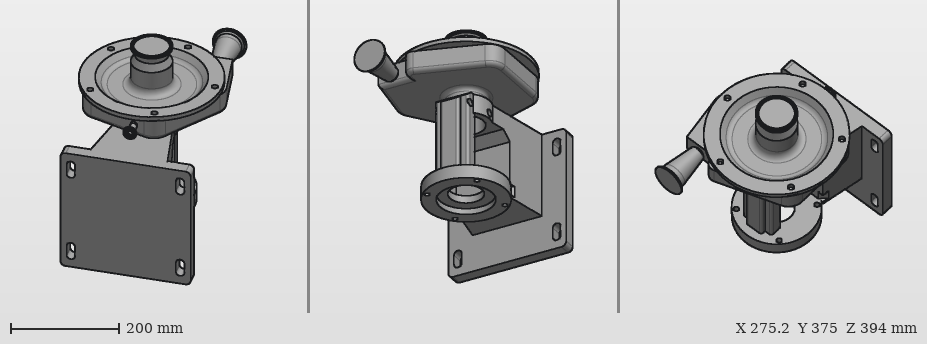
import cadquery as cq
import math

PLATE_SIDE = 250.0
PLATE_THICKNESS = 25.2
PLATE_BACK_Y = -180.5
PLATE_FRONT_Y = PLATE_BACK_Y + PLATE_THICKNESS
PLATE_CORNER_RADIUS = 10.0
SLOT_WIDTH = 16.0
SLOT_LENGTH = 36.0
SLOT_SPACING_X = 210.0
SLOT_SPACING_Z = 180.0

BRACKET_TAPER_DEG = 10.5
BRACKET_HALF_WIDTH = 73.5
BRACKET_BOTTOM_Z = 77.0
BRACKET_INNER_Y = -64.5
BRACKET_INNER_CHAMFER = 19.0
BOLT_NOTCH_DEPTH = 13.8
BOLT_NOTCH_HEIGHT = 22.0

RING_RADIUS = 83.5
RING_BORE_RADIUS = 34.0
RING_RECESS_RADIUS = 55
RING_RECESS_DEPTH = 12.2
RING_BOTTOM_Z = 55.5
RING_THICKNESS = 27.5
RING_TOP_Z = RING_BOTTOM_Z + RING_THICKNESS
RING_BOLT_CIRCLE_RADIUS = 75
RING_HOLE_DIAMETER = 10.2

HUB_RADIUS = 50.0
HUB_BORE_RADIUS = 36.5
HUB_BOTTOM_Z = 213.5
HUB_TOP_Z = 252.5
HUB_ROOF = 2.5
SIDE_HOLE_DIAMETER = 14.5
HUB_HOLE_Z = 226.0

POST_HALF_WIDTH = 35.5
POST_INNER_Y = 30.7
POST_SHOULDER_Y = 54.8
POST_EDGE_RADIUS = 5.0
RIB_HALF_WIDTH = 19.7
RIB_OUTER_Y = 65.0
POST_TOP_CHAMFER_RUN = 21.3
POST_TOP_CHAMFER_DROP = 16.0
POST_HOLE_Y = 47.0
POST_HOLE_Z = 229.7

CASING_BOTTOM_Z = 272.5
CASING_EDGE_RADIUS = 9.0
CORNER_CENTRE_RADIUS = 100.0
CORNER_RADIUS = 34.0
CORNER_PITCH_DEG = 72
CASING_APOTHEM = CORNER_CENTRE_RADIUS * math.cos(math.radians(CORNER_PITCH_DEG / 2)) + CORNER_RADIUS
SHOULDER_Y = 110.0
SHOULDER_CENTRE_Y = 8.5
SHOULDER_TILT_DEG = 9
HORN_RADIUS = 15.8
HORN_CENTRE_Y = 118.2

COVER_RADIUS = 135.0
COVER_BOTTOM_Z = 316.0
COVER_TOP_Z = 325.0
COVER_BOLT_CIRCLE_RADIUS = 121.5
COVER_HOLE_DIAMETER = 12
DISH_RADIUS = 105.0
DISH_DEPTH = 15.5
DISH_WALL_DEG = 45
DISH_FILLET = 15.8
DISH_INNER_FILLET = 15.0

NECK_RADIUS = 40.5
NECK_FILLET = 8.5

TOP_Z = 394
SUCTION_RADIUS = 39.0
SUCTION_NECK_RADIUS = 31.5
SUCTION_GROOVE_INNER_RADIUS = 33.5
SUCTION_CONE_BOTTOM_Z = 360.0
SUCTION_CONE_TOP_Z = 375.0

DISCHARGE_X = 95.7
DISCHARGE_Z = 293.0
DISCHARGE_END_Y = 194.5
DISCHARGE_NECK_RADIUS = 25.2
DISCHARGE_FLANGE_RADIUS = 32.5
DISCHARGE_CONE_Y = 177.3
DISCHARGE_TIP_Y = 112.5
DISCHARGE_TIP_RADIUS = 15.5
DISCHARGE_STUB_RADIUS = 12.2

DRAIN_Z = 296.0
DRAIN_END_Y = -151.3
DRAIN_RADIUS = 6.7
DRAIN_FLANGE_RADIUS = 12.5
DRAIN_GROOVE_INNER_RADIUS = 8
DRAIN_BORE_RADIUS = 5.0
DRAIN_BORE_DEPTH = 27.5

CLAMP_RIM = 3.0
CLAMP_TAPER = 4
CLAMP_TAPER_WIDTH = 3.5
CLAMP_GROOVE_WIDTH = 2.8
CLAMP_GROOVE_DEPTH = 1.0

OVERLAP = 4


def cylinder_z(radius, bottom, top):
    return cq.Workplane("XY").workplane(offset=bottom).circle(radius).extrude(top - bottom)


def cylinder_x(radius, x_start, x_end, y, z):
    return cq.Workplane("YZ", origin=(x_start, 0, 0)).center(y, z).circle(radius).extrude(x_end - x_start)


def polar(radius, degrees, centre=(0, 0)):
    angle = math.radians(degrees)
    return (centre[0] + radius * math.cos(angle), centre[1] + radius * math.sin(angle))


def clamp_profile(end, neck_radius, rim_radius):
    """Radius/height points of a clamp flange, from the neck up to the outer rim edge."""
    rim_start = end - CLAMP_RIM
    return [
        (neck_radius, rim_start - CLAMP_TAPER),
        (neck_radius + CLAMP_TAPER_WIDTH, rim_start),
        (rim_radius, rim_start),
        (rim_radius, end),
    ]


def revolve_profile(points):
    """Solid of revolution about Z from (radius, height) points listed upwards."""
    closed = [(0, points[0][1])] + points + [(0, points[-1][1])]
    return cq.Workplane("XZ").polyline(closed).close().revolve(360, (0, 0, 0), (0, 1, 0))


def clamp_groove(end, inner_radius):
    """Ring-shaped gasket groove in the end face of a clamp flange."""
    bottom = end - CLAMP_GROOVE_DEPTH
    outer = cylinder_z(inner_radius + CLAMP_GROOVE_WIDTH, bottom, end)
    return outer.cut(cylinder_z(inner_radius, bottom, end))


def mounting_plate():
    plate = (
        cq.Workplane("XZ", origin=(0, PLATE_FRONT_Y, PLATE_SIDE / 2))
        .rect(PLATE_SIDE, PLATE_SIDE)
        .extrude(PLATE_THICKNESS)
        .edges("|Y")
        .fillet(PLATE_CORNER_RADIUS)
    )
    slots = (
        cq.Workplane("XZ", origin=(0, PLATE_FRONT_Y, PLATE_SIDE / 2))
        .rect(SLOT_SPACING_X, SLOT_SPACING_Z, forConstruction=True)
        .vertices()
        .slot2D(SLOT_LENGTH, SLOT_WIDTH, 90)
        .extrude(PLATE_THICKNESS)
    )
    return plate.cut(slots)


def bracket():
    taper = math.tan(math.radians(BRACKET_TAPER_DEG))
    tip_half_width = BRACKET_HALF_WIDTH + PLATE_FRONT_Y * taper
    plan = (
        cq.Workplane("XY")
        .polyline(
            [
                (-BRACKET_HALF_WIDTH, PLATE_FRONT_Y),
                (BRACKET_HALF_WIDTH, PLATE_FRONT_Y),
                (tip_half_width, 0),
                (-tip_half_width, 0),
            ]
        )
        .close()
        .extrude(PLATE_SIDE)
    )
    side = (
        cq.Workplane("YZ", origin=(-BRACKET_HALF_WIDTH, 0, 0))
        .polyline(
            [
                (PLATE_FRONT_Y, BRACKET_BOTTOM_Z),
                (BRACKET_INNER_Y, BRACKET_BOTTOM_Z),
                (BRACKET_INNER_Y, HUB_BOTTOM_Z - BRACKET_INNER_CHAMFER),
                (BRACKET_INNER_Y + BRACKET_INNER_CHAMFER, HUB_BOTTOM_Z),
                (0, HUB_BOTTOM_Z),
                (0, PLATE_SIDE),
                (PLATE_FRONT_Y, PLATE_SIDE),
            ]
        )
        .close()
        .extrude(2 * BRACKET_HALF_WIDTH)
    )
    body = plan.intersect(side)

    notch_y = BRACKET_INNER_Y - BOLT_NOTCH_DEPTH
    notch_x = BRACKET_HALF_WIDTH - (notch_y - PLATE_FRONT_Y) * taper
    for side_sign in (-1, 1):
        notch = (
            cq.Workplane("XY")
            .workplane(offset=RING_TOP_Z)
            .polyline(
                [
                    (side_sign * notch_x, notch_y),
                    (side_sign * (notch_x - BOLT_NOTCH_DEPTH), BRACKET_INNER_Y),
                    (side_sign * notch_x, BRACKET_INNER_Y),
                ]
            )
            .close()
            .extrude(BOLT_NOTCH_HEIGHT)
        )
        body = body.cut(notch)
    return body


def motor_ring():
    ring = cylinder_z(RING_RADIUS, RING_BOTTOM_Z, RING_TOP_Z)
    holes = (
        cq.Workplane("XY")
        .workplane(offset=RING_BOTTOM_Z)
        .polarArray(RING_BOLT_CIRCLE_RADIUS, 45, 360, 4)
        .circle(RING_HOLE_DIAMETER / 2)
        .extrude(RING_THICKNESS)
    )
    bore = cylinder_z(RING_BORE_RADIUS, RING_BOTTOM_Z, RING_TOP_Z)
    recess = cylinder_z(RING_RECESS_RADIUS, RING_BOTTOM_Z, RING_BOTTOM_Z + RING_RECESS_DEPTH)
    return ring.cut(bore).cut(recess).cut(holes)


def post():
    def upright(half_width, outer_y):
        return (
            cq.Workplane("XY")
            .workplane(offset=RING_TOP_Z)
            .center(0, (POST_INNER_Y + outer_y) / 2)
            .rect(2 * half_width, outer_y - POST_INNER_Y)
            .extrude(HUB_TOP_Z - RING_TOP_Z)
            .edges("|Z and >Y")
            .fillet(POST_EDGE_RADIUS)
        )

    return upright(POST_HALF_WIDTH, POST_SHOULDER_Y).union(upright(RIB_HALF_WIDTH, RIB_OUTER_Y))


def post_top_slope():
    """Wedge that slopes off the outer top edge of the post and of the hub behind it."""
    return (
        cq.Workplane("YZ", origin=(-POST_HALF_WIDTH, 0, 0))
        .moveTo(RIB_OUTER_Y, HUB_TOP_Z)
        .lineTo(RIB_OUTER_Y, HUB_TOP_Z - POST_TOP_CHAMFER_DROP)
        .lineTo(RIB_OUTER_Y - POST_TOP_CHAMFER_RUN, HUB_TOP_Z)
        .close()
        .extrude(2 * POST_HALF_WIDTH)
    )


def frame():
    hub = cylinder_z(HUB_RADIUS, HUB_BOTTOM_Z, HUB_TOP_Z)
    post_hole = cylinder_x(
        SIDE_HOLE_DIAMETER / 2, -POST_HALF_WIDTH, POST_HALF_WIDTH, POST_HOLE_Y, POST_HOLE_Z
    )
    hub_hole = cylinder_x(SIDE_HOLE_DIAMETER / 2, -HUB_RADIUS, 0, 0, HUB_HOLE_Z)
    bore = cylinder_z(HUB_BORE_RADIUS, RING_TOP_Z, HUB_TOP_Z - HUB_ROOF)
    return (
        mounting_plate()
        .union(bracket())
        .union(post())
        .union(hub)
        .cut(post_top_slope())
        .cut(bore)
        .cut(hub_hole)
        .cut(post_hole)
        .union(motor_ring())
    )


def casing_outline():
    half_pitch = CORNER_PITCH_DEG / 2
    edge_before_discharge = 360 - half_pitch
    edge_after_horn = 1.5 * CORNER_PITCH_DEG

    edge_angle = math.radians(edge_before_discharge)
    shoulder_x = (
        CASING_APOTHEM - CORNER_RADIUS - SHOULDER_CENTRE_Y * math.sin(edge_angle)
    ) / math.cos(edge_angle)
    shoulder_centre = (shoulder_x, SHOULDER_CENTRE_Y)
    shoulder_end = polar(CORNER_RADIUS, SHOULDER_TILT_DEG, shoulder_centre)
    shoulder_run = (SHOULDER_Y - shoulder_end[1]) * math.tan(math.radians(SHOULDER_TILT_DEG))

    horn_angle = math.radians(edge_after_horn)
    horn_x = (CASING_APOTHEM - HORN_RADIUS - HORN_CENTRE_Y * math.sin(horn_angle)) / math.cos(horn_angle)
    horn_centre = (horn_x, HORN_CENTRE_Y)

    outline = cq.Workplane("XY").workplane(offset=CASING_BOTTOM_Z)
    outline = outline.moveTo(*polar(HORN_RADIUS, edge_after_horn, horn_centre))
    for corner in (2, 3, 4):
        angle = corner * CORNER_PITCH_DEG
        centre = polar(CORNER_CENTRE_RADIUS, angle)
        outline = outline.lineTo(*polar(CORNER_RADIUS, angle - half_pitch, centre)).threePointArc(
            polar(CORNER_RADIUS, angle, centre), polar(CORNER_RADIUS, angle + half_pitch, centre)
        )
    return (
        outline.lineTo(*polar(CORNER_RADIUS, edge_before_discharge, shoulder_centre))
        .threePointArc(polar(CORNER_RADIUS, 0, shoulder_centre), shoulder_end)
        .lineTo(shoulder_end[0] - shoulder_run, SHOULDER_Y)
        .lineTo(horn_x + HORN_RADIUS, SHOULDER_Y)
        .lineTo(horn_x + HORN_RADIUS, HORN_CENTRE_Y)
        .threePointArc(
            polar(HORN_RADIUS, edge_after_horn / 2, horn_centre),
            polar(HORN_RADIUS, edge_after_horn, horn_centre),
        )
        .close()
    )


def dish():
    """Annular recess in the cover, kept clear of the suction nozzle."""
    wall = math.radians(DISH_WALL_DEG)
    floor_z = COVER_TOP_Z - DISH_DEPTH
    arc_rise = DISH_FILLET * (1 - math.cos(wall))
    arc_top_radius = DISH_RADIUS - (DISH_DEPTH - arc_rise) / math.tan(wall)
    floor_radius = arc_top_radius - DISH_FILLET * math.sin(wall)
    arc_middle = (
        floor_radius + DISH_FILLET * math.sin(wall / 2),
        floor_z + DISH_FILLET * (1 - math.cos(wall / 2)),
    )
    inner_arc_centre = (SUCTION_RADIUS + DISH_INNER_FILLET, floor_z + DISH_INNER_FILLET)
    return (
        cq.Workplane("XZ")
        .moveTo(SUCTION_RADIUS, COVER_TOP_Z)
        .lineTo(DISH_RADIUS, COVER_TOP_Z)
        .lineTo(arc_top_radius, floor_z + arc_rise)
        .threePointArc(arc_middle, (floor_radius, floor_z))
        .lineTo(inner_arc_centre[0], floor_z)
        .threePointArc(
            polar(DISH_INNER_FILLET, 225, inner_arc_centre),
            (SUCTION_RADIUS, inner_arc_centre[1]),
        )
        .close()
        .revolve(360, (0, 0, 0), (0, 1, 0))
    )


def casing():
    housing = (
        casing_outline()
        .extrude(COVER_BOTTOM_Z - CASING_BOTTOM_Z)
        .faces("<Z")
        .edges()
        .fillet(CASING_EDGE_RADIUS)
    )
    cover = cylinder_z(COVER_RADIUS, COVER_BOTTOM_Z, COVER_TOP_Z)
    holes = (
        cq.Workplane("XY")
        .workplane(offset=COVER_BOTTOM_Z)
        .polarArray(COVER_BOLT_CIRCLE_RADIUS, 0, 360, 5)
        .circle(COVER_HOLE_DIAMETER / 2)
        .extrude(COVER_TOP_Z - COVER_BOTTOM_Z)
    )
    return housing.union(cover).cut(holes).cut(dish())


def shaft_neck():
    fillet_centre = (NECK_RADIUS + NECK_FILLET, CASING_BOTTOM_Z - NECK_FILLET)
    return (
        cq.Workplane("XZ")
        .moveTo(0, HUB_TOP_Z)
        .lineTo(NECK_RADIUS, HUB_TOP_Z)
        .lineTo(NECK_RADIUS, fillet_centre[1])
        .threePointArc(polar(NECK_FILLET, 135, fillet_centre), (fillet_centre[0], CASING_BOTTOM_Z))
        .lineTo(0, CASING_BOTTOM_Z)
        .close()
        .revolve(360, (0, 0, 0), (0, 1, 0))
    )


def suction_nozzle():
    nozzle = revolve_profile(
        [
            (SUCTION_RADIUS, COVER_TOP_Z - OVERLAP),
            (SUCTION_RADIUS, SUCTION_CONE_BOTTOM_Z),
            (SUCTION_NECK_RADIUS, SUCTION_CONE_TOP_Z),
        ]
        + clamp_profile(TOP_Z, SUCTION_NECK_RADIUS, SUCTION_RADIUS)
    )
    return nozzle.cut(clamp_groove(TOP_Z, SUCTION_GROOVE_INNER_RADIUS))


def discharge_nozzle():
    nozzle = revolve_profile(
        [
            (DISCHARGE_STUB_RADIUS, SHOULDER_Y - OVERLAP),
            (DISCHARGE_STUB_RADIUS, DISCHARGE_TIP_Y),
            (DISCHARGE_TIP_RADIUS, DISCHARGE_TIP_Y),
            (DISCHARGE_NECK_RADIUS, DISCHARGE_CONE_Y),
        ]
        + clamp_profile(DISCHARGE_END_Y, DISCHARGE_NECK_RADIUS, DISCHARGE_FLANGE_RADIUS)
    )
    return nozzle.rotate((0, 0, 0), (1, 0, 0), -90).translate((DISCHARGE_X, 0, DISCHARGE_Z))


def drain_nozzle():
    end = -DRAIN_END_Y
    nozzle = revolve_profile(
        [(DRAIN_RADIUS, CASING_APOTHEM - OVERLAP)] + clamp_profile(end, DRAIN_RADIUS, DRAIN_FLANGE_RADIUS)
    )
    nozzle = nozzle.cut(cylinder_z(DRAIN_BORE_RADIUS, end - DRAIN_BORE_DEPTH, end))
    nozzle = nozzle.cut(clamp_groove(end, DRAIN_GROOVE_INNER_RADIUS))
    return nozzle.rotate((0, 0, 0), (1, 0, 0), 90).translate((0, 0, DRAIN_Z))


result = (
    frame()
    .union(shaft_neck())
    .union(casing())
    .union(suction_nozzle())
    .union(discharge_nozzle())
    .union(drain_nozzle())
)